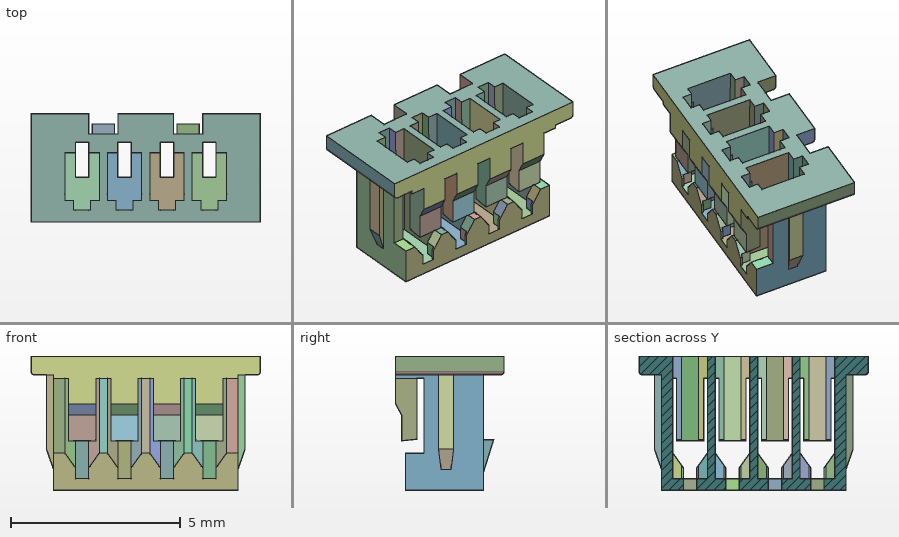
import cadquery as cq


flange_length = 6.75
flange_depth = 3.2
flange_thickness = 0.55
flange_edge_radius = 0.1
total_height = 3.95
flange_bottom = total_height - flange_thickness

body_length = 5.435
body_front = 0.84
body_back = 2.6
lip_front = 0.29
lip_top = 1.1
shoulder_bottom = 3.3

pitch = 1.25
pocket_count = 4
pocket_centers = [(i - (pocket_count - 1) / 2) * pitch for i in range(pocket_count)]
pocket_width = 1.01
pocket_floor = 0.35
pocket_front = 0.64
pocket_back = 2.05
pocket_back_draft = 0.02

slot_width = 0.385
slot_front = 1.33
slot_back = 2.35

keyway_width = 0.505
keyway_front = 0.36

lead_in_bottom = 0.66

tongue_width = 0.8
tongue_tip_front = 0.18
tongue_front_bottom = 1.46
tongue_back_bottom = 1.505
tongue_chamfer_top = 2.55
tongue_chamfer_bottom = 2.215

latch_centers = (-pitch, pitch)
latch_width = 0.66
latch_reach = 0.3
latch_top = 1.5
latch_bottom = 0.55
notch_width = 0.86

rib_front = 1.27
rib_back = 1.715
rib_reach = 0.21
rib_flare = 0.075
rib_taper_top = 1.215
rib_taper_bottom = 0.62


def block(width, y_range, z_range, x_center=0.0):
    """Box centred on x_center and spanning the given Y and Z ranges."""
    size_y = y_range[1] - y_range[0]
    size_z = z_range[1] - z_range[0]
    corner = (x_center - width / 2, y_range[0], z_range[0])
    return cq.Workplane("XY").box(width, size_y, size_z, centered=False).translate(corner)


def side_profile(points, width, x_center=0.0):
    """Closed (Y, Z) outline extruded along X to the given width, centred on x_center."""
    outline = cq.Workplane("YZ").polyline(points).close()
    return outline.extrude(width / 2, both=True).translate((x_center, 0, 0))


def flange():
    plate = block(flange_length, (0, flange_depth), (flange_bottom, total_height))
    plate = plate.faces("<Z").edges("<X or >X or >Y").fillet(flange_edge_radius)
    for x in latch_centers:
        notch = block(notch_width, (body_back, flange_depth), (flange_bottom, total_height), x)
        plate = plate.cut(notch)
    return plate


def body():
    outline = [
        (lip_front, 0),
        (body_back, 0),
        (body_back, flange_bottom),
        (0, flange_bottom),
        (0, shoulder_bottom),
        (body_front, shoulder_bottom),
        (body_front, lip_top),
        (lip_front, lip_top),
    ]
    return side_profile(outline, body_length)


def pocket(x):
    """Everything removed for one terminal: cavity, slot, keyway and the gap in the lip."""
    cavity_outline = [
        (pocket_front, pocket_floor),
        (pocket_back - pocket_back_draft, pocket_floor),
        (pocket_back, total_height),
        (pocket_front, total_height),
    ]
    cavity = side_profile(cavity_outline, pocket_width, x)
    slot = block(slot_width, (slot_front, slot_back), (0, total_height), x)
    keyway = block(keyway_width, (keyway_front, pocket_front), (pocket_floor, total_height), x)
    lip_gap_outline = [
        (x - slot_width / 2, pocket_floor),
        (x + slot_width / 2, pocket_floor),
        (x + slot_width / 2, lead_in_bottom),
        (x + pocket_width / 2, lip_top),
        (x - pocket_width / 2, lip_top),
        (x - slot_width / 2, lead_in_bottom),
    ]
    lip_gap = cq.Workplane("XZ", origin=(0, lip_front, 0)).polyline(lip_gap_outline).close()
    lip_gap = lip_gap.extrude(lip_front - pocket_front)
    return cavity.union(slot).union(keyway).union(lip_gap)


def tongue(x):
    outline = [
        (0, shoulder_bottom),
        (0, tongue_chamfer_top),
        (tongue_tip_front, tongue_chamfer_bottom),
        (tongue_tip_front, tongue_front_bottom),
        (pocket_front, tongue_back_bottom),
        (pocket_front, shoulder_bottom),
    ]
    return side_profile(outline, tongue_width, x)


def latch(x):
    outline = [
        (body_back, latch_bottom),
        (body_back + latch_reach, latch_top),
        (body_back, latch_top),
    ]
    return side_profile(outline, latch_width, x)


def right_rib():
    """Dovetail rib on the +X end, sloped back to the body at its lower tip."""
    root_x = body_length / 2
    outer_x = root_x + rib_reach
    section = [
        (root_x, rib_front + rib_flare),
        (outer_x, rib_front),
        (outer_x, rib_back),
        (root_x, rib_back - rib_flare),
    ]
    rib = cq.Workplane("XY", origin=(0, 0, rib_taper_bottom)).polyline(section).close()
    rib = rib.extrude(flange_bottom - rib_taper_bottom)
    tip = [
        (root_x, rib_taper_bottom),
        (outer_x, rib_taper_bottom),
        (outer_x, rib_taper_top),
    ]
    tip_cut = cq.Workplane("XZ", origin=(0, rib_front, 0)).polyline(tip).close()
    return rib.cut(tip_cut.extrude(rib_front - rib_back))


housing = body().union(flange())
for center in pocket_centers:
    housing = housing.union(tongue(center)).cut(pocket(center))
for center in latch_centers:
    housing = housing.union(latch(center))
rib = right_rib()
result = housing.union(rib).union(rib.mirror("YZ"))